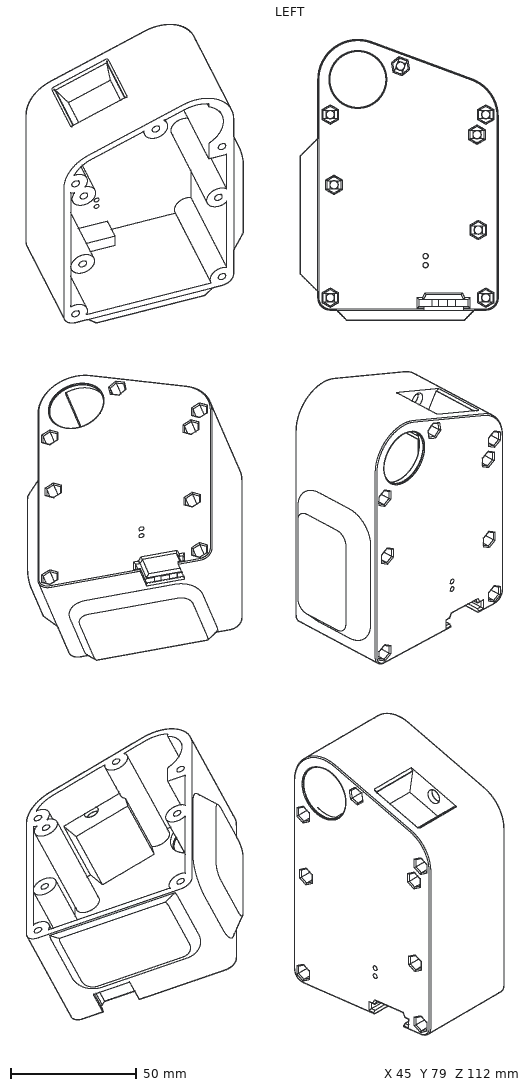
import cadquery as cq
import math


DEPTH = 45.0
WIDTH = 72.0
HEIGHT = 108.0
SHOULDER_RADIUS = 16.0
FOOT_RADIUS = 5.0
SLOPE_ANGLE = 20.3
EDGE_CHAMFER = 0.5
CHAMFER_ANGLE = 45.0
WALL = 3.0

BORE_DIAMETER = 22.3
BORE_CHAMFER = 0.4
BORE_LIP = 0.6
CRADLE_RADIUS = 11.6
CRADLE_SIDE_Y = 61.4
CRADLE_EDGE_RADIUS = 1.0

SCREW_DIAMETER = 3.2
SCREW_BOSS_RADIUS = 5.0
NUT_FLATS = 5.7
NUT_DEPTH = 8.0
BRIDGE_STEP = 0.3
SCREW_INSET = 5.0
TOP_SCREW_Z = 78.0
LEANING_SCREW = (39.0, 97.3)
CORNER_SCREWS = [
    (y, z) for y in (SCREW_INSET, WIDTH - SCREW_INSET) for z in (SCREW_INSET, TOP_SCREW_Z)
]
SIDE_SCREWS = [(8.5, 70.0), (65.5, 50.0), (8.0, 32.0)]

INDICATOR_DIAMETER = 2.0
INDICATOR_Y = 29.0
INDICATOR_HEIGHTS = (18.0, 21.6)

BULGE_LENGTH = 47.0
BULGE_CORNER = 5.0
BULGE_TAPER = 45.0
SIDE_BULGE_HEIGHT = 7.0
SIDE_BULGE_WIDTH = 27.0
SIDE_BULGE_CENTER = (23.5, 38.0)
FOOT_BULGE_HEIGHT = 4.0
FOOT_BULGE_WIDTH = 31.0
FOOT_BULGE_CENTER = (31.5, 37.0)
FOOT_BULGE_END_X = 44.2

POCKET_X = (5.0, 27.0)
POCKET_Y = (10.3, 32.4)
POCKET_DEPTH = 11.2
POCKET_END_LEAN = 2.3
POCKET_CHAMFER = 1.0
POCKET_WALL = 2.5
PORT_DIAMETER = 6.0
PORT_CENTER = (21.5, 91.8)

RECESS_CENTER_Y = 21.8
RECESS_DEPTH = 10.0
RECESS_WIDTH = 19.6
RECESS_BOTTOM = 1.6
RECESS_TOP = 4.25
HOOD_BASE = 16.0
HOOD_TOP_WIDTH = 14.0
HOOD_TOP = 6.2
MOUTH_WIDTH = 15.8
RECESS_CHAMFER = 0.75
RECESS_WALL = 2.0
SOCKET_DEPTH = 0.5
CONTACT_HEIGHT = 0.25
CONTACT_SPANS = ((17.1, 20.3), (23.8, 26.5))

roof_angle = 90 + SLOPE_ANGLE
slope = math.radians(SLOPE_ANGLE)
normal_y = -math.sin(slope)
normal_z = math.cos(slope)
high_center = (WIDTH - SHOULDER_RADIUS, HEIGHT - SHOULDER_RADIUS)
low_center_z = high_center[1] - (WIDTH - 2 * SHOULDER_RADIUS) * math.tan(slope)
low_center = (SHOULDER_RADIUS, low_center_z)


def on_shoulder(center, degrees):
    """Point on a shoulder arc, with the angle counted from +Y towards +Z."""
    angle = math.radians(degrees)
    return (
        center[0] + SHOULDER_RADIUS * math.cos(angle),
        center[1] + SHOULDER_RADIUS * math.sin(angle),
    )


def yz_plane(x=0.0):
    return cq.Workplane("YZ", origin=(x, 0, 0))


def yz_box(x_span, y_span, z_span):
    size = [span[1] - span[0] for span in (x_span, y_span, z_span)]
    corner = (x_span[0], y_span[0], z_span[0])
    return cq.Workplane("XY").box(*size, centered=False).translate(corner)


def body_outline(x=0.0):
    return (
        yz_plane(x)
        .moveTo(FOOT_RADIUS, 0)
        .lineTo(WIDTH - FOOT_RADIUS, 0)
        .radiusArc((WIDTH, FOOT_RADIUS), -FOOT_RADIUS)
        .lineTo(WIDTH, high_center[1])
        .threePointArc(on_shoulder(high_center, roof_angle / 2), on_shoulder(high_center, roof_angle))
        .lineTo(*on_shoulder(low_center, roof_angle))
        .threePointArc(on_shoulder(low_center, (roof_angle + 180) / 2), (0, low_center_z))
        .lineTo(0, FOOT_RADIUS)
        .radiusArc((FOOT_RADIUS, 0), -FOOT_RADIUS)
        .close()
    )


def chamfered_opening(outline, depth, chamfer):
    """Cutter that runs in from the back face and flares at 45 degrees where it starts."""
    rim = yz_plane().newObject([outline.val()]).toPending().offset2D(chamfer, "intersection")
    return outline.extrude(depth).union(rim.extrude(chamfer, taper=CHAMFER_ANGLE))


def bulge(plane, center, width, height):
    """Solid with 45 degree flanks, rising from the workplane to a flat rounded rectangle."""
    return (
        plane.center(*center)
        .sketch()
        .rect(width + 2 * height, BULGE_LENGTH + 2 * height)
        .vertices()
        .fillet(BULGE_CORNER + height)
        .finalize()
        .extrude(height, taper=BULGE_TAPER)
    )


def side_bulge():
    plane = cq.Workplane(cq.Plane(origin=(0, WIDTH, 0), xDir=(-1, 0, 0), normal=(0, 1, 0)))
    center = (-SIDE_BULGE_CENTER[0], SIDE_BULGE_CENTER[1])
    return bulge(plane, center, SIDE_BULGE_WIDTH, SIDE_BULGE_HEIGHT)


def foot_bulge():
    plane = cq.Workplane(cq.Plane(origin=(0, 0, 0), xDir=(1, 0, 0), normal=(0, 0, -1)))
    center = (FOOT_BULGE_CENTER[0], -FOOT_BULGE_CENTER[1])
    whole = bulge(plane, center, FOOT_BULGE_WIDTH, FOOT_BULGE_HEIGHT)
    return whole.intersect(yz_box((0, FOOT_BULGE_END_X), (0, WIDTH), (-FOOT_BULGE_HEIGHT, 0)))


def pocket_plane(x):
    """Plane across the pocket: local x runs up the roof towards +Y, local y out of the roof."""
    origin = (x, *on_shoulder(low_center, roof_angle))
    plane = cq.Plane(origin=origin, xDir=(0, normal_z, -normal_y), normal=(1, 0, 0))
    return cq.Workplane(plane)


def pocket_ends():
    """Places of the pocket's two ends, measured along the roof in the pocket plane."""
    tangent_y = on_shoulder(low_center, roof_angle)[0]
    return [(y - tangent_y) / normal_z for y in POCKET_Y]


def pocket_block(grow=0.0):
    """The pocket's hollow, or the block that surrounds it when grown by a wall thickness."""
    low_end, high_end = pocket_ends()
    outline = pocket_plane(POCKET_X[0] - grow).polyline(
        [
            (low_end - grow, 0),
            (low_end - grow + POCKET_END_LEAN, -POCKET_DEPTH - grow),
            (high_end + grow - POCKET_END_LEAN, -POCKET_DEPTH - grow),
            (high_end + grow, 0),
        ]
    )
    return outline.close().extrude(POCKET_X[1] - POCKET_X[0] + 2 * grow)


def pocket_cutter():
    """Pocket hollow with a 45 degree chamfer around its mouth, except along the +X side."""
    low_end, high_end = pocket_ends()
    center_x = (POCKET_X[0] + POCKET_X[1]) / 2
    middle = pocket_plane(center_x).plane.toWorldCoords(((low_end + high_end) / 2, -POCKET_CHAMFER))
    mouth = cq.Plane(origin=middle, xDir=(1, 0, 0), normal=(0, normal_y, normal_z))
    throat = cq.Workplane(mouth).rect(POCKET_X[1] - POCKET_X[0], high_end - low_end)
    flare = throat.extrude(POCKET_CHAMFER, taper=-CHAMFER_ANGLE)
    flare = flare.intersect(yz_box((0, POCKET_X[1]), (0, WIDTH), (0, HEIGHT)))
    return pocket_block().union(flare)


def screw_bosses():
    bosses = yz_plane().pushPoints(CORNER_SCREWS + SIDE_SCREWS + [LEANING_SCREW])
    return bosses.circle(SCREW_BOSS_RADIUS).extrude(DEPTH).intersect(body_outline().extrude(DEPTH))


def bore_cradle():
    """Corner block between the wall and the bore, hollowed to carry a tube pushed into the bore."""
    bottom = TOP_SCREW_Z - SCREW_BOSS_RADIUS
    block = yz_box((0, DEPTH), (CRADLE_SIDE_Y, WIDTH), (bottom, HEIGHT))
    tube = yz_plane().center(*high_center).circle(CRADLE_RADIUS).extrude(DEPTH)
    reach_y = CRADLE_SIDE_Y - high_center[0]
    edge_z = high_center[1] - math.sqrt(CRADLE_RADIUS**2 - reach_y**2)
    block = block.intersect(body_outline().extrude(DEPTH)).cut(tube)
    edge = cq.selectors.NearestToPointSelector((DEPTH / 2, CRADLE_SIDE_Y, edge_z))
    return block.edges(edge).fillet(CRADLE_EDGE_RADIUS)


def bore_cutter():
    """Bore through the back wall: a chamfered lip, then the slightly wider cradle diameter."""
    bore_radius = BORE_DIAMETER / 2
    lip = yz_plane().center(*high_center).circle(bore_radius).extrude(WALL)
    flare = yz_plane().center(*high_center).circle(bore_radius + BORE_CHAMFER)
    cradle = yz_plane(BORE_LIP).center(*high_center).circle(CRADLE_RADIUS).extrude(WALL)
    return lip.union(flare.extrude(BORE_CHAMFER, taper=CHAMFER_ANGLE)).union(cradle)


def hollow():
    """Inside of the housing, open at the +X end."""
    room = body_outline(WALL).offset2D(-WALL).extrude(DEPTH - WALL)
    recess_block = yz_box(
        (0, RECESS_DEPTH + RECESS_WALL),
        (
            RECESS_CENTER_Y - RECESS_WIDTH / 2 - RECESS_WALL,
            RECESS_CENTER_Y + RECESS_WIDTH / 2 + RECESS_WALL,
        ),
        (0, HOOD_TOP + RECESS_WALL),
    )
    return room.cut(bore_cradle()).cut(screw_bosses()).cut(pocket_block(POCKET_WALL)).cut(recess_block)


def screw_cutter(y, z, turn=0.0):
    """Through hole with a nut trap and two bridging steps that narrow it down to the hole."""
    hexagon = yz_plane().polygon(6, NUT_FLATS, circumscribed=True)
    trap = chamfered_opening(hexagon, NUT_DEPTH, EDGE_CHAMFER)
    bridge = yz_plane(NUT_DEPTH).rect(NUT_FLATS, SCREW_DIAMETER).extrude(BRIDGE_STEP)
    square = yz_plane(NUT_DEPTH).rect(SCREW_DIAMETER, SCREW_DIAMETER).extrude(2 * BRIDGE_STEP)
    hole = yz_plane().circle(SCREW_DIAMETER / 2).extrude(DEPTH)
    cutter = hole.union(trap).union(bridge).union(square)
    return cutter.rotate((0, 0, 0), (1, 0, 0), turn).translate((0, y, z))


def recess_cutter():
    """Connector recess: a wide slot with a hood above it and a narrower mouth through the floor."""
    half_slot = RECESS_WIDTH / 2
    half_hood = HOOD_BASE / 2
    half_top = HOOD_TOP_WIDTH / 2
    outline = (
        yz_plane()
        .center(RECESS_CENTER_Y, 0)
        .polyline(
            [
                (-half_slot, RECESS_BOTTOM),
                (half_slot, RECESS_BOTTOM),
                (half_slot, RECESS_TOP),
                (half_hood, RECESS_TOP),
                (half_top, HOOD_TOP),
                (-half_top, HOOD_TOP),
                (-half_hood, RECESS_TOP),
                (-half_slot, RECESS_TOP),
            ]
        )
        .close()
    )
    mouth_y = (RECESS_CENTER_Y - MOUTH_WIDTH / 2, RECESS_CENTER_Y + MOUTH_WIDTH / 2)
    cutter = chamfered_opening(outline, RECESS_DEPTH, RECESS_CHAMFER)
    cutter = cutter.union(yz_box((0, RECESS_DEPTH), mouth_y, (0, RECESS_BOTTOM)))
    slot_y = (RECESS_CENTER_Y - half_slot, RECESS_CENTER_Y + half_slot)
    end_x = (RECESS_DEPTH, RECESS_DEPTH + SOCKET_DEPTH)
    cutter = cutter.union(yz_box(end_x, slot_y, (RECESS_BOTTOM, RECESS_TOP)))
    contact_x = (end_x[1] - CONTACT_HEIGHT, end_x[1])
    for span in CONTACT_SPANS:
        cutter = cutter.cut(yz_box(contact_x, span, (RECESS_BOTTOM, RECESS_TOP)))
    return cutter


body = body_outline().extrude(DEPTH).faces("<X").edges().chamfer(EDGE_CHAMFER)
body = body.cut(hollow()).union(side_bulge()).union(foot_bulge())

body = body.cut(bore_cutter())

for screw in CORNER_SCREWS + SIDE_SCREWS:
    body = body.cut(screw_cutter(*screw))
body = body.cut(screw_cutter(*LEANING_SCREW, turn=roof_angle))

for indicator_z in INDICATOR_HEIGHTS:
    indicator = yz_plane().center(INDICATOR_Y, indicator_z).circle(INDICATOR_DIAMETER / 2)
    body = body.cut(indicator.extrude(WALL))

body = body.cut(pocket_cutter())
port = yz_plane(POCKET_X[1]).center(*PORT_CENTER).circle(PORT_DIAMETER / 2)
body = body.cut(port.extrude(POCKET_WALL))

result = body.cut(recess_cutter())